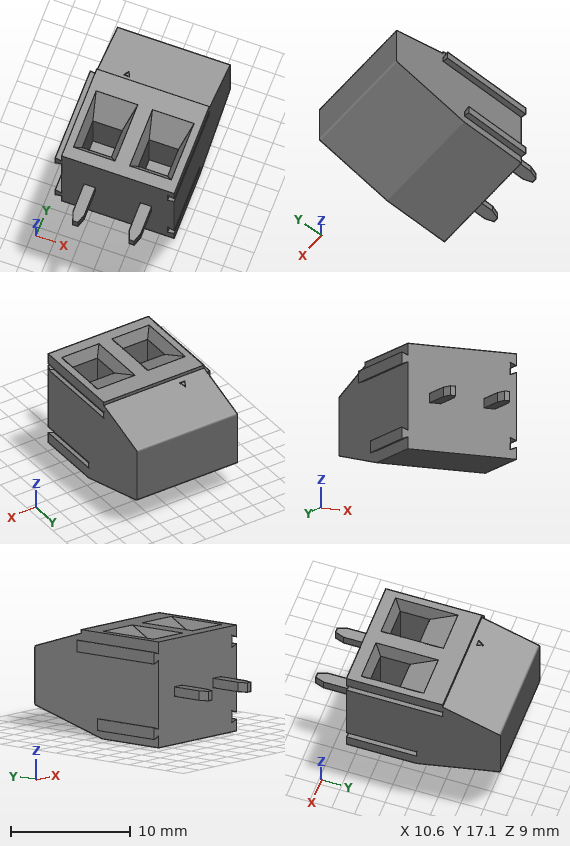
import cadquery as cq
import math


PITCH = 5.0
POLE_COUNT = 2
HOUSING_WIDTH = PITCH * POLE_COUNT
HOUSING_LENGTH = 13.6
HOUSING_HEIGHT = 9.0
TOP_FLAT_LENGTH = 8.5
BOTTOM_FLAT_LENGTH = 6.2
STEP_HEIGHT = 0.3
REAR_INSET = 2.0
REAR_FILLET = 0.2

MOUTH_WIDTH = 3.7
MOUTH_LENGTH = 5.5
MOUTH_FRONT = 1.1
MOUTH_DEPTH = 0.9
SHAFT_SIDE = 2.6
SHAFT_FRONT = 1.7

PIN_WIDTH = 1.0
PIN_THICKNESS = 0.8
PIN_LENGTH = 3.5
PIN_TIP_WIDTH = 0.45
PIN_TIP_LENGTH = 0.8
PIN_BOTTOM = (HOUSING_HEIGHT - PIN_THICKNESS) / 2
SHAFT_FLOOR = PIN_BOTTOM

DOVETAIL_DEPTH = 0.57
DOVETAIL_WIDTH = 1.0
DOVETAIL_ANGLE = 20.0
DOVETAIL_INSET = 0.8

MARK_SIZE = 0.5
MARK_FRONT = 0.5
MARK_DEPTH = 0.1

LEFT = -HOUSING_WIDTH / 2
RIGHT = HOUSING_WIDTH / 2
POLE_POSITIONS = [LEFT + PITCH * (i + 0.5) for i in range(POLE_COUNT)]
STEP_Z = HOUSING_HEIGHT - STEP_HEIGHT
UPPER_SLOPE = (REAR_INSET - STEP_HEIGHT) / (HOUSING_LENGTH - TOP_FLAT_LENGTH)


def make_housing():
    """Side profile extruded across the width, with rounded rear edges."""
    profile = [
        (0, 0),
        (BOTTOM_FLAT_LENGTH, 0),
        (HOUSING_LENGTH, REAR_INSET),
        (HOUSING_LENGTH, HOUSING_HEIGHT - REAR_INSET),
        (TOP_FLAT_LENGTH, STEP_Z),
        (TOP_FLAT_LENGTH, HOUSING_HEIGHT),
        (0, HOUSING_HEIGHT),
    ]
    housing = cq.Workplane("YZ", origin=(LEFT, 0, 0)).polyline(profile).close().extrude(HOUSING_WIDTH)
    return housing.faces(">Y").edges("|X").fillet(REAR_FILLET)


def make_dovetail(side_x, center_z, length):
    """Dovetail bar with its narrow root at side_x, widening toward -X."""
    wide = DOVETAIL_WIDTH / 2
    narrow = wide - DOVETAIL_DEPTH * math.tan(math.radians(DOVETAIL_ANGLE))
    wide_x = side_x - DOVETAIL_DEPTH
    profile = [
        (side_x, center_z - narrow),
        (side_x, center_z + narrow),
        (wide_x, center_z + wide),
        (wide_x, center_z - wide),
    ]
    return cq.Workplane("XZ").polyline(profile).close().extrude(-length)


def make_dovetail_pair(side_x):
    """Upper and lower dovetail bars, each as long as the flat beside it."""
    center_inset = DOVETAIL_INSET + DOVETAIL_WIDTH / 2
    upper = make_dovetail(side_x, HOUSING_HEIGHT - center_inset, TOP_FLAT_LENGTH)
    lower = make_dovetail(side_x, center_inset, BOTTOM_FLAT_LENGTH)
    return upper.add(lower).combine()


def make_wire_entry(pole_x):
    """Cutter for one wire entry: a tapered mouth and the square shaft below it."""
    mouth_center_y = MOUTH_FRONT + MOUTH_LENGTH / 2
    shaft_center_y = SHAFT_FRONT + SHAFT_SIDE / 2
    mouth = (
        cq.Workplane("XY", origin=(pole_x, mouth_center_y, HOUSING_HEIGHT))
        .rect(MOUTH_WIDTH, MOUTH_LENGTH)
        .workplane(offset=-MOUTH_DEPTH)
        .center(0, shaft_center_y - mouth_center_y)
        .rect(SHAFT_SIDE, SHAFT_SIDE)
        .loft(ruled=True)
    )
    shaft_height = HOUSING_HEIGHT - MOUTH_DEPTH - SHAFT_FLOOR
    shaft = (
        cq.Workplane("XY", origin=(pole_x, shaft_center_y, SHAFT_FLOOR))
        .rect(SHAFT_SIDE, SHAFT_SIDE)
        .extrude(shaft_height)
    )
    return mouth.union(shaft)


def make_pin(pole_x):
    """Flat pin with a tip tapered in width."""
    half = PIN_WIDTH / 2
    half_tip = PIN_TIP_WIDTH / 2
    taper_y = PIN_TIP_LENGTH - PIN_LENGTH
    outline = [
        (-half, 0),
        (-half, taper_y),
        (-half_tip, -PIN_LENGTH),
        (half_tip, -PIN_LENGTH),
        (half, taper_y),
        (half, 0),
    ]
    return cq.Workplane("XY", origin=(pole_x, 0, PIN_BOTTOM)).polyline(outline).close().extrude(PIN_THICKNESS)


def make_pin_one_mark():
    """Triangular cutter set square to the upper slope, pointing toward +Y."""
    base_origin = (
        POLE_POSITIONS[0],
        TOP_FLAT_LENGTH + MARK_FRONT,
        STEP_Z - MARK_FRONT * UPPER_SLOPE,
    )
    slope_plane = cq.Plane(origin=base_origin, xDir=(1, 0, 0), normal=(0, UPPER_SLOPE, 1))
    height_on_slope = MARK_SIZE * math.hypot(1, UPPER_SLOPE)
    triangle = [(-MARK_SIZE / 2, 0), (MARK_SIZE / 2, 0), (0, height_on_slope)]
    return cq.Workplane(slope_plane).polyline(triangle).close().extrude(-MARK_DEPTH)


result = make_housing()
result = result.cut(make_dovetail_pair(RIGHT))
result = result.union(make_dovetail_pair(LEFT))
for x in POLE_POSITIONS:
    result = result.cut(make_wire_entry(x))
    result = result.union(make_pin(x))
result = result.cut(make_pin_one_mark())